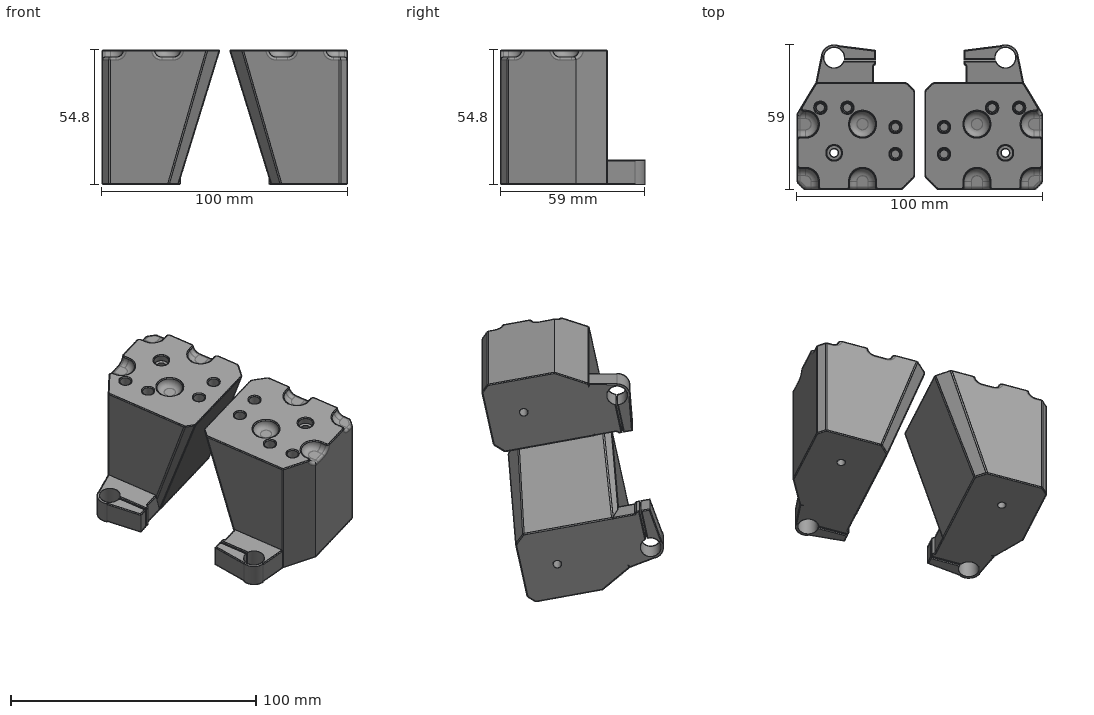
import cadquery as cq
import math

overall_width = 100.0
overall_depth = 59.0
height = 54.8
gap = 4.0
block_width = (overall_width - gap) / 2
block_depth = 43.6
edge_bevel = 0.4

foot_width = 31.1
front_outer_chamfer = 3.0
front_inner_chamfer_top = 5.2
front_inner_chamfer_foot = 4.0
back_inner_chamfer_top = 3.2
back_inner_chamfer_foot = back_inner_chamfer_top * front_inner_chamfer_foot / front_inner_chamfer_top
back_outer_cut_x = 7.7
back_outer_cut_start_y = 30.8

dish_radius = 5.3
dish_depth = 2.9
dish_floor_radius = 2.3
dish_floor_fillet = dish_radius - dish_floor_radius
dish_lip_fillet = 1.2
dish_near = 3.4
dish_pitch = 23.3
dish_far = dish_near + dish_pitch
dish_overrun = 12.0
open_dish_length = dish_overrun + dish_near + dish_radius
open_dish_middle = dish_near + dish_radius - open_dish_length / 2
dish_cutter_height = dish_depth + dish_floor_fillet
tolerance = 0.01

insert_top_diameter = 4.6
insert_floor_diameter = 3.4
insert_depth = 6.0
insert_pitch = 11.0
back_insert_x = 9.5
back_insert_y = 33.4
side_insert_x = 40.1
side_insert_y = 14.5

bolt_x = 15.1
bolt_y = 15.0
bolt_diameter = 3.4
counterbore_diameter = 6.0
counterbore_depth = 3.0

clamp_height = 10.0
clamp_x = bolt_x
clamp_radius = 5.2
clamp_bore_diameter = 8.4
clamp_y = overall_depth - clamp_radius
clamp_tip_x = 32.0
clamp_tip_y = 56.8
jaw_root_offset = 1.7
slot_bottom = 52.5
slot_top = 53.1
lip_bottom = 51.2
lip_overhang = clamp_tip_x - foot_width
root_embedding = 8.0
clamp_root_y = block_depth - root_embedding
clamp_root_x = 20.0


def block_outline(width, front_chamfer, back_chamfer):
    """Plan outline of the block, outer front corner at the origin."""
    return [
        (front_outer_chamfer, 0),
        (width - front_chamfer, 0),
        (width, front_chamfer),
        (width, block_depth - back_chamfer),
        (width - back_chamfer, block_depth),
        (back_outer_cut_x, block_depth),
        (0, back_outer_cut_start_y),
        (0, front_outer_chamfer),
    ]


def leaning_block():
    """Flat-sided solid between the foot and the wider top, bevelled except at one shallow corner."""
    foot = [cq.Vector(x, y, 0) for x, y in
            block_outline(foot_width, front_inner_chamfer_foot, back_inner_chamfer_foot)]
    top = [cq.Vector(x, y, height) for x, y in
           block_outline(block_width, front_inner_chamfer_top, back_inner_chamfer_top)]
    polygons = [foot, top]
    for i in range(len(foot)):
        polygons.append([foot[i - 1], foot[i], top[i], top[i - 1]])
    faces = [cq.Face.makeFromWires(cq.Wire.makePolygon(points, close=True)) for points in polygons]
    block = cq.Workplane(cq.Solid.makeSolid(cq.Shell.makeShell(faces)))
    sharp_corner = cq.selectors.NearestToPointSelector((0, back_outer_cut_start_y, height / 2))
    bevelled_edges = block.edges(cq.selectors.StringSyntaxSelector("not >Z") - sharp_corner)
    return bevelled_edges.chamfer(edge_bevel)


def dish(cutter):
    """Round the floor edge of a dish cutter."""
    return cutter.faces("<Z").edges().fillet(dish_floor_fillet)


def dish_floor(x, y):
    return cq.Workplane("XY", origin=(x, y, height - dish_depth))


def corner_dish():
    """Square cutter with rounded corners; only its inner corner reaches the block."""
    floor = dish_floor(open_dish_middle, open_dish_middle)
    square = floor.rect(open_dish_length, open_dish_length).extrude(dish_cutter_height)
    return dish(square.edges("|Z").fillet(dish_radius))


def front_dish():
    floor = dish_floor(dish_far, open_dish_middle)
    return dish(floor.slot2D(open_dish_length, 2 * dish_radius, 90).extrude(dish_cutter_height))


def side_dish():
    floor = dish_floor(open_dish_middle, dish_far)
    return dish(floor.slot2D(open_dish_length, 2 * dish_radius).extrude(dish_cutter_height))


def central_dish():
    return dish(dish_floor(dish_far, dish_far).circle(dish_radius).extrude(dish_cutter_height))


def lip_edges(block, walls):
    """Edges where the dishes break through the side walls, below the top face, from front to back."""
    lips = []
    for edge in block.edges().vals():
        lowest = edge.BoundingBox().zmin
        below_top = height - dish_depth - tolerance < lowest < height - tolerance
        middle = cq.Vertex.makeVertex(*edge.positionAt(0.5).toTuple())
        if below_top and middle.distance(walls) < tolerance:
            lips.append(edge)
    return sorted(lips, key=lambda edge: edge.Center().y)


def cut_open_dishes(block):
    """Corner, front and side dishes, each running out through the nearby walls."""
    walls = cq.Compound.makeCompound(block.faces("not(<Z or >Z)").vals())
    block = block.cut(corner_dish()).cut(front_dish()).cut(side_dish())
    return block.newObject(lip_edges(block, walls)).fillet(dish_lip_fillet)


def cut_inserts(block):
    """Four blind holes that narrow towards their floor."""
    spots = [
        (back_insert_x, back_insert_y),
        (back_insert_x + insert_pitch, back_insert_y),
        (side_insert_x, side_insert_y),
        (side_insert_x, side_insert_y + insert_pitch),
    ]
    for x, y in spots:
        hole = cq.Solid.makeCone(
            insert_floor_diameter / 2,
            insert_top_diameter / 2,
            insert_depth,
            cq.Vector(x, y, height - insert_depth),
        )
        block = block.cut(cq.Workplane(hole))
    return block


def cut_bolt_hole(block):
    return (
        block.faces(">Z")
        .workplane(origin=(bolt_x, bolt_y, height))
        .cboreHole(bolt_diameter, counterbore_diameter, counterbore_depth)
    )


def outer_tangent_point():
    """Where the line from the block's back outer corner touches the round of the clamp."""
    x_offset = back_outer_cut_x - clamp_x
    y_offset = block_depth - clamp_y
    distance = math.hypot(x_offset, y_offset)
    angle = math.atan2(y_offset, x_offset) - math.acos(clamp_radius / distance)
    return (clamp_x + clamp_radius * math.cos(angle), clamp_y + clamp_radius * math.sin(angle))


def bevelled_plate(points):
    """Clamp plate with its long edges bevelled, but not where it meets the round eye."""
    plate = cq.Workplane("XY").polyline(points).close().extrude(clamp_height)
    inside_eye = cq.selectors.BoxSelector(
        (clamp_x - clamp_radius, clamp_y - clamp_radius, -edge_bevel),
        (clamp_x + clamp_radius, clamp_y + clamp_radius, clamp_height + edge_bevel),
    )
    return plate.edges(cq.selectors.StringSyntaxSelector("not |Z") - inside_eye).chamfer(edge_bevel)


def clamp():
    """Split clamp: a rounded eye between an upper jaw and a lower jaw rooted in the block."""
    tip = (clamp_tip_x, clamp_tip_y)
    outer_tangent = outer_tangent_point()
    jaw_root = (
        clamp_x + jaw_root_offset,
        clamp_y + math.sqrt(clamp_radius**2 - jaw_root_offset**2),
    )
    upper_jaw = bevelled_plate([
        (clamp_x, slot_top),
        (clamp_tip_x, slot_top),
        tip,
        jaw_root,
    ])
    lower_jaw = bevelled_plate([
        (clamp_x, slot_bottom),
        (clamp_tip_x, slot_bottom),
        (clamp_tip_x, lip_bottom),
        (foot_width, lip_bottom - lip_overhang),
        (foot_width, block_depth - back_inner_chamfer_foot),
        (clamp_root_x, clamp_root_y),
        (back_outer_cut_x, block_depth),
        outer_tangent,
    ])
    eye_middle = (clamp_x - clamp_radius * math.sqrt(0.5), clamp_y + clamp_radius * math.sqrt(0.5))
    eye = (
        cq.Workplane("XY")
        .moveTo(clamp_x, slot_bottom)
        .lineTo(*outer_tangent)
        .threePointArc(eye_middle, jaw_root)
        .lineTo(clamp_x, slot_top)
        .close()
        .extrude(clamp_height)
    )
    bore = cq.Workplane("XY").center(clamp_x, clamp_y).circle(clamp_bore_diameter / 2).extrude(clamp_height)
    return upper_jaw.union(eye).union(lower_jaw).cut(bore)


def left_block():
    block = cut_open_dishes(leaning_block())
    block = block.cut(central_dish())
    block = cut_inserts(block)
    block = cut_bolt_hole(block)
    block = block.faces(">Z").edges().chamfer(edge_bevel)
    return block.union(clamp()).translate((-overall_width / 2, 0, 0))


left = left_block()
right = left.mirror("YZ")
result = cq.Compound.makeCompound([left.solids().val(), right.solids().val()])